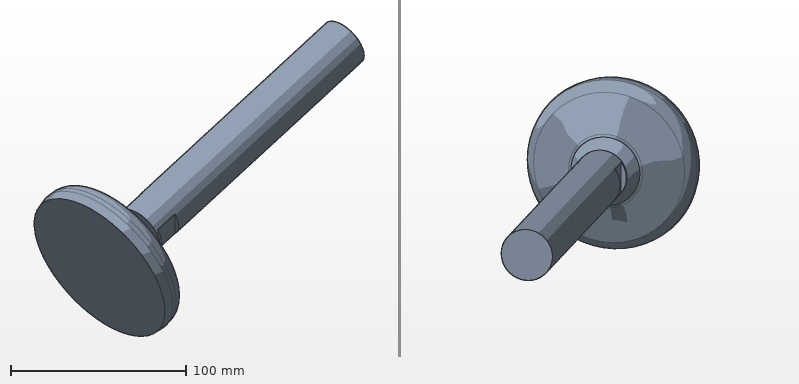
import cadquery as cq
import math

total_length = 215.0
sole_radius = 49.0
foot_radius = 49.99
rim_radius = 49.7
widest_height = 5.8
rim_height = 9.0
shoulder_radius = 8.2
slope_angle = math.radians(20)
cone_top_radius = 21.7

ball_radius = 24.5
ball_height = 11.6
dome_edge_radius = 20.2

stem_radius = 15.0
stem_start = 35.3
flat_start = 37.0
flat_length = 15.0
flat_width = 24.0


def shoulder_point(angle):
    """Point on the shoulder arc, with the angle measured from the radial direction."""
    return (
        rim_radius - shoulder_radius + shoulder_radius * math.cos(angle),
        rim_height + shoulder_radius * math.sin(angle),
    )


def dome_point(radius):
    """Point on the ball at the given distance from the axis."""
    return (radius, ball_height + math.sqrt(ball_radius**2 - radius**2))


def make_foot():
    """Revolved foot: tapered rim, rounded shoulder, cone and dome."""
    shoulder_sweep = math.pi / 2 - slope_angle
    shoulder_end = shoulder_point(shoulder_sweep)
    cone_rise = (shoulder_end[0] - cone_top_radius) * math.tan(slope_angle)
    profile = (
        cq.Workplane("XY")
        .lineTo(sole_radius, 0)
        .lineTo(foot_radius, widest_height)
        .lineTo(rim_radius, rim_height)
        .threePointArc(shoulder_point(shoulder_sweep / 2), shoulder_end)
        .lineTo(cone_top_radius, shoulder_end[1] + cone_rise)
        .lineTo(*dome_point(dome_edge_radius))
        .threePointArc(dome_point(dome_edge_radius / 2), dome_point(0))
        .close()
    )
    return profile.revolve(360, (0, 0, 0), (0, 1, 0))


def make_stem():
    """Round stem with a pair of flats facing -X and +X."""
    stem = (
        cq.Workplane("XZ", origin=(0, stem_start, 0))
        .circle(stem_radius)
        .extrude(stem_start - total_length)
    )
    for side in (-1, 1):
        cutter = cq.Workplane("XY").box(
            stem_radius, flat_length, 2 * stem_radius, centered=(True, False, True)
        )
        offset = side * (flat_width + stem_radius) / 2
        stem = stem.cut(cutter.translate((offset, flat_start, 0)))
    return stem


result = make_foot().union(make_stem())